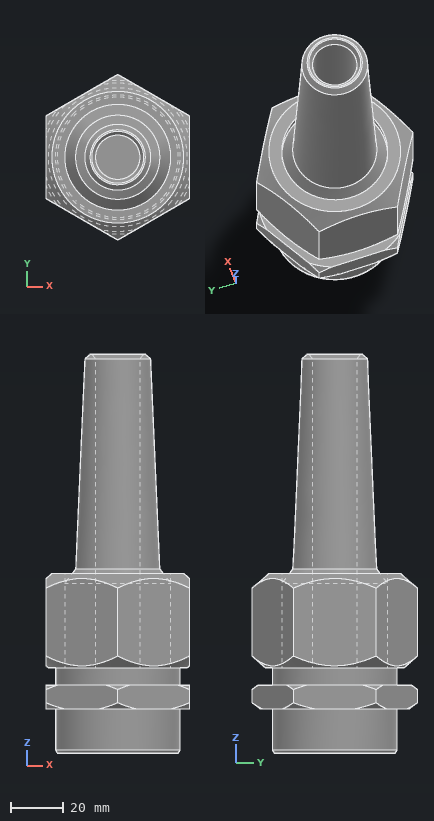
import cadquery as cq

across_corners = 63.5
corner_radius = across_corners / 2

lock_hex_bottom = 17.0
lock_hex_top = 26.2
nut_bottom = 32.7
nut_top = 69.0
flare_top = 70.7
stem_shoulder = 151.2
stem_top = 153.0

shank_diameter = 47.7
shank_chamfer_width = 0.8
shank_chamfer_height = 1.2

lock_lower_face = 56.9
lock_lower_drop = 2.5
lock_upper_face = 59.0
lock_upper_drop = 1.7
nut_lower_face = 53.2
nut_lower_drop = 4.6
nut_upper_face = 50.5
nut_upper_drop = 5.7

socket_diameter = 40.5
socket_floor = nut_bottom
flare_depth = 3.8
stem_base_diameter = 32.3
stem_shoulder_diameter = 25.2
stem_top_diameter = 21.1
mouth_diameter = 19.9
bore_diameter = 17.0
mouth_depth = 1.8


def revolve_profile(points):
    """Revolve a closed (radius, height) outline about Z."""
    return cq.Workplane("XZ").polyline(points).close().revolve(360, (0, 0), (0, 1))


def chamfered_hexagon(bottom, top, lower_face, lower_drop, upper_face, upper_drop):
    """Hexagonal prism with its corners turned to a cone at both ends."""
    prism = (
        cq.Workplane("XY", origin=(0, 0, bottom))
        .polygon(6, across_corners)
        .extrude(top - bottom)
        .rotate((0, 0, 0), (0, 0, 1), 90)
    )
    turned_envelope = revolve_profile([
        (0, bottom),
        (lower_face / 2, bottom),
        (corner_radius, bottom + lower_drop),
        (corner_radius, top - upper_drop),
        (upper_face / 2, top),
        (0, top),
    ])
    return prism.intersect(turned_envelope)


def make_housing():
    """Threaded shank with a lock hexagon and a nut hexagon, open at the top for the stem."""
    shank_radius = shank_diameter / 2
    shank = revolve_profile([
        (0, 0),
        (shank_radius - shank_chamfer_width, 0),
        (shank_radius, shank_chamfer_height),
        (shank_radius, nut_bottom),
        (0, nut_bottom),
    ])
    lock_hexagon = chamfered_hexagon(
        lock_hex_bottom, lock_hex_top,
        lock_lower_face, lock_lower_drop, lock_upper_face, lock_upper_drop,
    )
    nut_hexagon = chamfered_hexagon(
        nut_bottom, nut_top,
        nut_lower_face, nut_lower_drop, nut_upper_face, nut_upper_drop,
    )
    socket = (
        cq.Workplane("XY", origin=(0, 0, socket_floor))
        .circle(socket_diameter / 2)
        .extrude(nut_top - socket_floor)
    )
    return shank.union(lock_hexagon).union(nut_hexagon).cut(socket)


def make_stem():
    """Tapered hollow stem whose flared foot fills the lower part of the socket."""
    return revolve_profile([
        (bore_diameter / 2, socket_floor),
        (socket_diameter / 2, socket_floor),
        (socket_diameter / 2, nut_top - flare_depth),
        (stem_base_diameter / 2, flare_top),
        (stem_shoulder_diameter / 2, stem_shoulder),
        (stem_top_diameter / 2, stem_top),
        (mouth_diameter / 2, stem_top),
        (bore_diameter / 2, stem_top - mouth_depth),
    ])


housing = make_housing()
stem = make_stem()

result = cq.Compound.makeCompound([housing.val(), stem.val()])